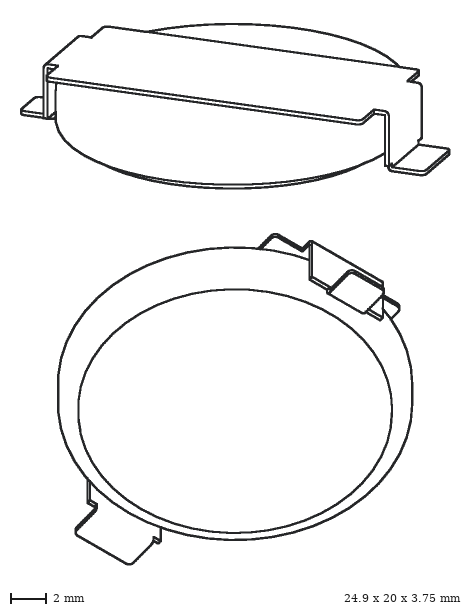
import cadquery as cq

can_diameter = 20.0
can_bottom = 0.6
cell_top = 3.2
can_edge_radius = 0.5
terminal_diameter = 17.7
terminal_edge_radius = 0.3

overall_length = 24.9
overall_height = 3.75
sheet = 0.25
leg_span = 21.0
leg_width = 5.0
leg_bottom = 0.47
plate_length = 19.2
plate_width = 9.0
left_foot_width = 2.5
right_foot_width = 4.0
corner_radius = 0.3
bend_radius = 0.27


def make_cell():
    can = (
        cq.Workplane("XY")
        .workplane(offset=can_bottom)
        .circle(can_diameter / 2)
        .extrude(cell_top - can_bottom)
        .edges()
        .fillet(can_edge_radius)
    )
    terminal = (
        cq.Workplane("XY")
        .circle(terminal_diameter / 2)
        .extrude(can_bottom)
        .faces("<Z")
        .edges()
        .fillet(terminal_edge_radius)
    )
    return can.union(terminal)


def make_bent_sheet():
    """Bent sheet of full plate width; outlines cut later narrow the legs and feet."""
    outer = leg_span / 2
    inner = outer - sheet
    foot_end = overall_length / 2
    right_half = [
        (inner, overall_height - sheet),
        (inner, 0),
        (foot_end, 0),
        (foot_end, sheet),
        (outer, sheet),
        (outer, overall_height),
    ]
    left_half = [(-x, z) for x, z in reversed(right_half)]
    bent = (
        cq.Workplane("XZ")
        .polyline(right_half + left_half)
        .close()
        .extrude(plate_width / 2, both=True)
    )
    for x, z in ((outer, overall_height), (inner, 0)):
        for side in (-1, 1):
            bend_edge = cq.selectors.NearestToPointSelector((side * x, 0, z))
            bent = bent.edges("|Y").edges(bend_edge).fillet(bend_radius)
    return bent


def make_foot_outline(side, width):
    """Vertical prism that bounds a foot and its neck; side is -1 for left and +1 for right."""
    length = overall_length / 2
    outer_corners = "|Z and >X" if side > 0 else "|Z and <X"
    return (
        cq.Workplane("XY")
        .center(side * length / 2, 0)
        .rect(length, width)
        .extrude(leg_bottom)
        .edges(outer_corners)
        .fillet(corner_radius)
    )


def make_clip():
    legs = (
        cq.Workplane("XY")
        .workplane(offset=leg_bottom)
        .rect(leg_span, leg_width)
        .extrude(overall_height - leg_bottom)
    )
    plate = (
        cq.Workplane("XY")
        .workplane(offset=leg_bottom)
        .rect(plate_length, plate_width)
        .extrude(overall_height - leg_bottom)
        .edges("|Z")
        .fillet(corner_radius)
    )
    outline = legs.union(plate)
    for side, width in ((-1, left_foot_width), (1, right_foot_width)):
        outline = outline.union(make_foot_outline(side, width))
    return make_bent_sheet().intersect(outline)


cell = make_cell()
clip = make_clip()

result = cq.Compound.makeCompound([cell.solids().val(), clip.solids().val()])